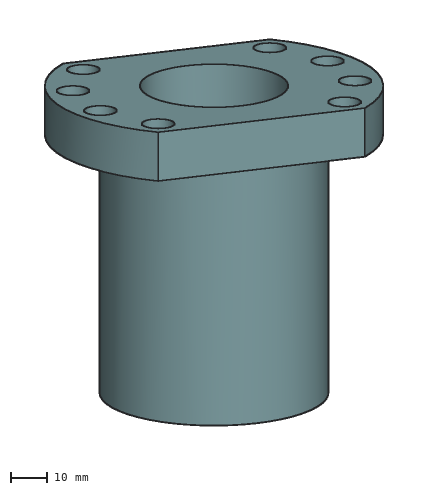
import cadquery as cq
import math

flange_diameter = 93.0
flange_width = 70.0
flange_thickness = 14.0
total_length = 88.0
body_diameter = 63.0
bore_diameter = 40.7

bolt_circle_diameter = 78.0
bolt_hole_diameter = 9.0
bolt_angles = (45, 75, 105, 135)

body_length = total_length - flange_thickness


def make_body():
    """Cylindrical body with its lower end at Z = 0."""
    return cq.Workplane("XY").circle(body_diameter / 2).extrude(body_length)


def make_flange():
    """Round flange on top of the body, cut flat on its -X and +X sides."""
    flange_bottom = cq.Workplane("XY").workplane(offset=body_length)
    disc = flange_bottom.circle(flange_diameter / 2).extrude(flange_thickness)
    flats = cq.Workplane("XY").box(flange_width, flange_diameter, total_length, centered=(True, True, False))
    return disc.intersect(flats)


def make_bore():
    """Through bore along the axis."""
    return cq.Workplane("XY").circle(bore_diameter / 2).extrude(total_length)


def make_bolt_holes():
    """Through holes in the flange, in two opposite groups on one bolt circle."""
    bolt_radius = bolt_circle_diameter / 2
    centers = []
    for start_angle in (0, 180):
        for bolt_angle in bolt_angles:
            angle = math.radians(start_angle + bolt_angle)
            centers.append((bolt_radius * math.cos(angle), bolt_radius * math.sin(angle)))
    flange_bottom = cq.Workplane("XY").workplane(offset=body_length)
    return flange_bottom.pushPoints(centers).circle(bolt_hole_diameter / 2).extrude(flange_thickness)


result = make_body().union(make_flange()).cut(make_bore()).cut(make_bolt_holes())